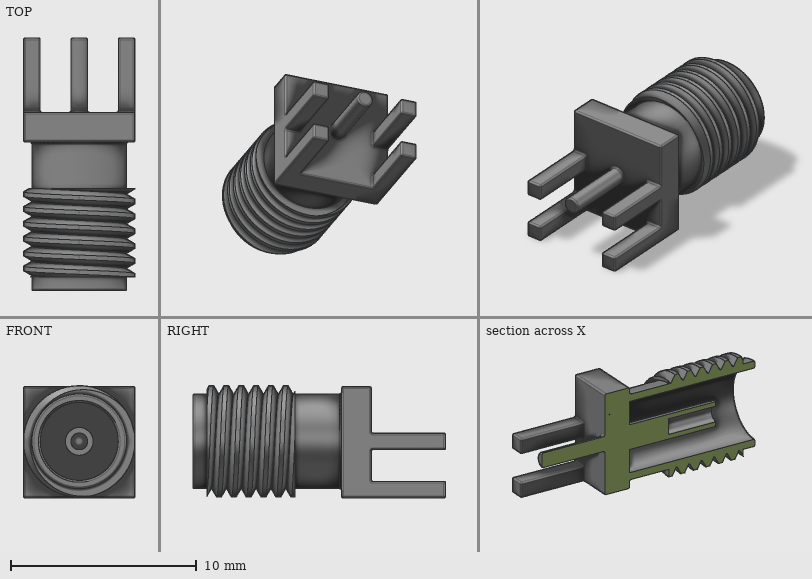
import cadquery as cq
import math


EDGE_RADIUS = 0.1

PLATE_SIZE = 6.0
PLATE_THICKNESS = 1.6
PLATE_DROP = 0.05

LEG_SIZE = 0.9
LEG_LENGTH = 4.0
PIN_RADIUS = 0.45

BARREL_LENGTH = 8.0
BARREL_RADIUS = 2.55
BORE_RADIUS = 2.1
BORE_DEPTH = BARREL_LENGTH

CONTACT_RADIUS = 0.75
CONTACT_RECESS = 2.5
SOCKET_RADIUS = PIN_RADIUS
SOCKET_DEPTH = 3.0

THREAD_RADIUS = 3.0
THREAD_LENGTH = 4.75
THREAD_RECESS = 0.75
THREAD_PITCH = 0.8
CREST_WIDTH = 0.24
FLANK_ANGLE = 60.0
GROOVE_PHASE = 0.4
SLEEVE_RADIUS = 2.3
EXTRA_TURNS = 3
CUTTER_OVERSIZE = 0.1

PLATE_CENTER_Z = -PLATE_DROP
PLATE_BOTTOM = PLATE_CENTER_Z - PLATE_SIZE / 2
MOUTH_Y = -BARREL_LENGTH


def cylinder(radius, start_y, length):
    """Cylinder on the connector axis running from start_y towards +Y."""
    base_center = cq.Vector(0, start_y, 0)
    return cq.Workplane(cq.Solid.makeCylinder(radius, length, base_center, cq.Vector(0, 1, 0)))


def make_plate_with_legs():
    """Plate with two legs level with the axis and two along its bottom edge."""
    body = cq.Workplane().box(PLATE_SIZE, PLATE_THICKNESS, PLATE_SIZE)
    body = body.translate((0, PLATE_THICKNESS / 2, PLATE_CENTER_Z))
    leg_x = (PLATE_SIZE - LEG_SIZE) / 2
    leg_reach = PLATE_THICKNESS + LEG_LENGTH
    for x in (-leg_x, leg_x):
        for z in (0, PLATE_BOTTOM + LEG_SIZE / 2):
            leg = cq.Workplane().box(LEG_SIZE, leg_reach, LEG_SIZE)
            body = body.union(leg.translate((x, leg_reach / 2, z)))
    return body.clean().edges().fillet(EDGE_RADIUS)


def make_barrel():
    """Solid barrel with a rounded mouth edge."""
    return cylinder(BARREL_RADIUS, MOUTH_Y, BARREL_LENGTH).faces("<Y").edges().fillet(EDGE_RADIUS)


def make_pin():
    """Centre pin with a rounded tip."""
    return cylinder(PIN_RADIUS, 0, PLATE_THICKNESS + LEG_LENGTH).faces(">Y").edges().fillet(EDGE_RADIUS)


def make_flare(radius, face_y, direction):
    """Disc with a concave rim that blends a cylinder into the face at face_y, along direction."""
    edge_y = face_y + direction * EDGE_RADIUS
    back_y = face_y - direction * EDGE_RADIUS
    arc_offset = EDGE_RADIUS * (1 - math.sqrt(0.5))
    profile = (
        cq.Workplane("XY")
        .moveTo(0, back_y)
        .lineTo(radius + EDGE_RADIUS, back_y)
        .lineTo(radius + EDGE_RADIUS, face_y)
        .threePointArc((radius + arc_offset, face_y + direction * arc_offset), (radius, edge_y))
        .lineTo(0, edge_y)
        .close()
    )
    return profile.revolve(360, (0, 0, 0), (0, 1, 0))


def make_thread():
    """Sleeve with a left-handed helical V groove; its ends are cut square to the axis."""
    half_width = (THREAD_PITCH - CREST_WIDTH) / 2
    flank_slope = math.tan(math.radians(FLANK_ANGLE / 2))
    apex_radius = THREAD_RADIUS - half_width / flank_slope
    outer_radius = THREAD_RADIUS + CUTTER_OVERSIZE
    outer_half_width = half_width + CUTTER_OVERSIZE * flank_slope

    groove_turns = math.ceil(THREAD_LENGTH / THREAD_PITCH) + EXTRA_TURNS
    groove_length = groove_turns * THREAD_PITCH
    groove_y = MOUTH_Y + GROOVE_PHASE - THREAD_PITCH
    helix = cq.Wire.makeHelix(THREAD_PITCH, groove_length, THREAD_RADIUS, lefthand=True)
    groove = (
        cq.Workplane("XZ")
        .polyline([(apex_radius, 0), (outer_radius, outer_half_width), (outer_radius, -outer_half_width)])
        .close()
        .sweep(cq.Workplane(helix), isFrenet=True)
        .rotate((0, 0, 0), (1, 0, 0), -90)
        .translate((0, groove_y, 0))
    )

    blank_y = groove_y - THREAD_PITCH
    blank_length = groove_length + 2 * THREAD_PITCH
    blank = cylinder(THREAD_RADIUS, blank_y, blank_length)
    blank = blank.cut(cylinder(SLEEVE_RADIUS, blank_y, blank_length))
    trim = cylinder(outer_radius, MOUTH_Y + THREAD_RECESS, THREAD_LENGTH)
    return blank.cut(groove).intersect(trim)


def make_bore():
    """Bore with a rounded mouth, leaving a socketed contact standing on its floor."""
    bore = cylinder(BORE_RADIUS, MOUTH_Y, BORE_DEPTH)
    contact = cylinder(CONTACT_RADIUS, MOUTH_Y + CONTACT_RECESS, BORE_DEPTH - CONTACT_RECESS)
    socket = cylinder(SOCKET_RADIUS, MOUTH_Y + CONTACT_RECESS, SOCKET_DEPTH)
    mouth_flare = make_flare(BORE_RADIUS, MOUTH_Y, 1)
    return bore.union(mouth_flare).cut(contact.cut(socket))


result = (
    make_plate_with_legs()
    .union(make_barrel())
    .union(make_flare(BARREL_RADIUS, 0, -1))
    .union(make_pin())
    .union(make_flare(PIN_RADIUS, PLATE_THICKNESS, 1))
    .union(make_thread())
    .cut(make_bore())
)